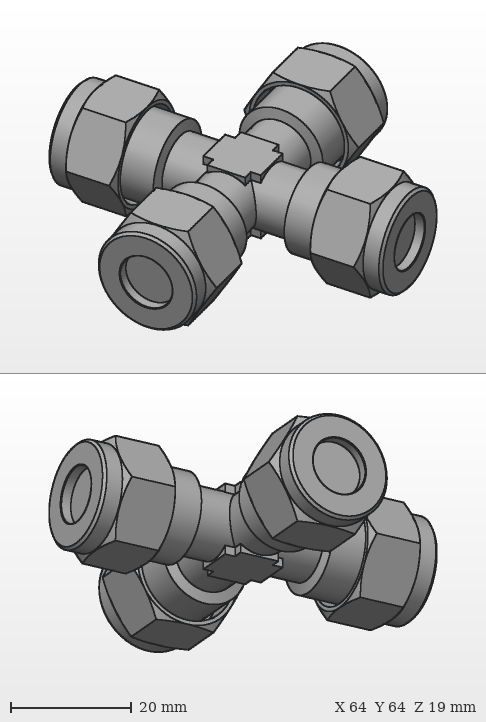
import cadquery as cq
import math

tip_distance = 32.0
arm_angles = (0, 90, 180, 270)

neck_radius = 6.0

collar_radius = 8.0
collar_start = 12.0
collar_nose_length = 0.5

nut_flats = 19.0
nut_start = 18.4
nut_length = 10.05
nut_end = nut_start + nut_length
nut_corner_radius = nut_flats / math.sqrt(3)
nut_chamfer_angle = 30

recess_radius = 8.8
recess_depth = 5.1

rim_radius = 9.4
rim_chamfer = 0.5

socket_radius = 5.0
socket_depth = 1.9
socket_chamfer = 0.1

pad_span = 11.0
pad_arm_width = 7.2
pad_height = 12.8


def cylinder(radius, start, end):
    """Cylinder along +X between two distances from the centre."""
    return cq.Workplane("YZ").workplane(offset=start).circle(radius).extrude(end - start)


def revolve_about_x(profile):
    """Solid of revolution about the X axis from (distance, radius) points."""
    return cq.Workplane("XY").polyline(profile).close().revolve(360, (0, 0, 0), (1, 0, 0))


def make_collar():
    """Collar with a tapered nose towards the centre, reaching the floor of the nut recess."""
    collar_end = nut_start + recess_depth
    profile = [
        (collar_start, 0),
        (collar_start, neck_radius),
        (collar_start + collar_nose_length, collar_radius),
        (collar_end, collar_radius),
        (collar_end, 0),
    ]
    return revolve_about_x(profile)


def make_nut():
    """Hexagon with flats facing up and down, coned corners and a recess in its inner face."""
    hexagon = (
        cq.Workplane("YZ")
        .workplane(offset=nut_start)
        .polygon(6, 2 * nut_corner_radius)
        .extrude(nut_length)
    )
    inner_radius = nut_flats / 2
    slope = math.tan(math.radians(nut_chamfer_angle))
    inner_chamfer = (nut_corner_radius - inner_radius) * slope
    outer_chamfer = (nut_corner_radius - rim_radius) * slope
    envelope = revolve_about_x([
        (nut_start, 0),
        (nut_start, inner_radius),
        (nut_start + inner_chamfer, nut_corner_radius),
        (nut_end - outer_chamfer, nut_corner_radius),
        (nut_end, rim_radius),
        (nut_end, 0),
    ])
    recess = cylinder(recess_radius, nut_start, nut_start + recess_depth)
    return hexagon.intersect(envelope).cut(recess)


def make_arm():
    """One complete arm along +X, before the socket is cut."""
    rim = cylinder(rim_radius, nut_end, tip_distance).faces(">X").chamfer(rim_chamfer)
    neck = cylinder(neck_radius, 0, collar_start)
    return neck.union(make_collar()).union(make_nut()).union(rim)


def make_socket():
    """Blind tube socket with a small chamfer at its mouth."""
    socket_floor = tip_distance - socket_depth
    profile = [
        (socket_floor, 0),
        (socket_floor, socket_radius),
        (tip_distance - socket_chamfer, socket_radius),
        (tip_distance, socket_radius + socket_chamfer),
        (tip_distance, 0),
    ]
    return revolve_about_x(profile)


def make_pad():
    """Plus-shaped block whose ends form the flat pads."""
    along_x = cq.Workplane("XY").box(pad_span, pad_arm_width, pad_height)
    along_y = cq.Workplane("XY").box(pad_arm_width, pad_span, pad_height)
    return along_x.union(along_y)


arm = make_arm()
socket = make_socket()

result = make_pad()
for angle in arm_angles:
    result = result.union(arm.rotate((0, 0, 0), (0, 0, 1), angle))
for angle in arm_angles:
    result = result.cut(socket.rotate((0, 0, 0), (0, 0, 1), angle))